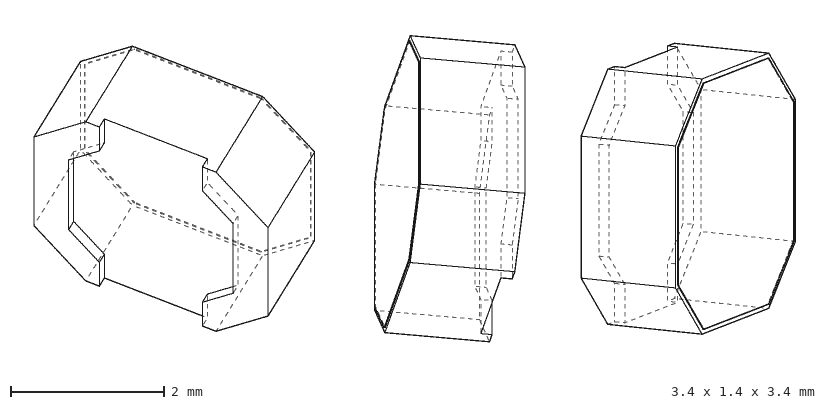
import cadquery as cq

width = 3.4
thickness = 1.4
corner_cut = 0.755

pad_height = 0.015
pad_inset = 0.06

recess_depth = 0.15
recess_width = 2.387
recess_corner_cut = 0.45
channel_width = 1.495

front_y = -thickness / 2
body_depth = thickness - pad_height


def octagon_block(size, cut, start_y, depth):
    """Square block with cut corners, running from start_y toward +Y."""
    return (
        cq.Workplane("XY")
        .box(size, depth, size)
        .edges("|Y")
        .chamfer(cut)
        .translate((0, start_y + depth / 2, 0))
    )


body = octagon_block(width, corner_cut, front_y, body_depth)

pad_corner_cut = corner_cut - pad_inset * (2 - 2**0.5)
pad = octagon_block(width - 2 * pad_inset, pad_corner_cut, front_y + body_depth, pad_height)

pocket = octagon_block(recess_width, recess_corner_cut, front_y, recess_depth)
channel = cq.Workplane("XY").box(channel_width, recess_depth, width)
channel = channel.translate((0, front_y + recess_depth / 2, 0))

result = body.union(pad).cut(pocket).cut(channel)